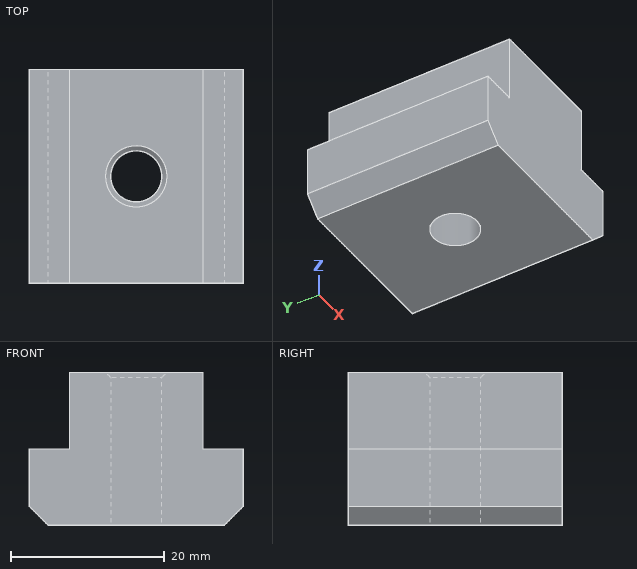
import cadquery as cq

length = 28.0
base_width = 28.0
neck_width = 17.5
total_height = 20.0
base_height = total_height / 2
bottom_chamfer = 2.5
hole_diameter = 6.65
countersink_diameter = 8.0
countersink_angle = 90.0


def make_body():
    """T-shaped bar, centred in X and Y with its underside at Z = 0."""
    base = cq.Workplane("XY").box(base_width, length, base_height, centered=(True, True, False))
    base = base.faces("<Z").edges("|Y").chamfer(bottom_chamfer)
    neck = cq.Workplane("XY").box(neck_width, length, total_height, centered=(True, True, False))
    return base.union(neck)


def cut_hole(body):
    """Vertical through hole with a countersink at the top of the neck."""
    top = body.faces(">Z").workplane(origin=(0, 0, total_height))
    return top.cskHole(hole_diameter, countersink_diameter, countersink_angle)


result = cut_hole(make_body())